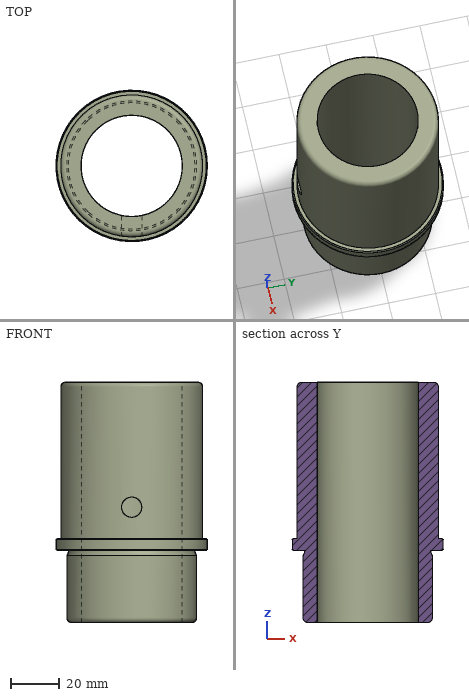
import cadquery as cq

total_height = 100.0
bore_diameter = 42.0
spigot_diameter = 54.0
body_diameter = 59.0
flange_diameter = 63.0
flange_bottom = 30.0
flange_thickness = 5.0
end_round = 2.0
flange_chamfer = 0.5
relief_height = 2.0
relief_depth = 0.7
cross_hole_diameter = 8.4
cross_hole_height = 48.0

bore_radius = bore_diameter / 2
spigot_radius = spigot_diameter / 2
body_radius = body_diameter / 2
flange_radius = flange_diameter / 2
relief_radius = spigot_radius - relief_depth
relief_arc_radius = (relief_height**2 + relief_depth**2) / (2 * relief_depth)
flange_top = flange_bottom + flange_thickness


def cylinder(radius, bottom, top):
    """Solid cylinder on the Z axis between two heights."""
    return cq.Workplane("XY").workplane(offset=bottom).circle(radius).extrude(top - bottom)


spigot = cylinder(spigot_radius, 0, flange_bottom).faces("<Z").edges().fillet(end_round)
flange = cylinder(flange_radius, flange_bottom, flange_top).edges().chamfer(flange_chamfer)
body = cylinder(body_radius, flange_top, total_height).faces(">Z").edges().fillet(end_round)
sleeve = spigot.union(flange).union(body)

relief = (
    cq.Workplane("XZ")
    .moveTo(relief_radius, flange_bottom)
    .radiusArc((spigot_radius, flange_bottom - relief_height), -relief_arc_radius)
    .lineTo(spigot_radius, flange_bottom)
    .close()
    .revolve(360, (0, 0, 0), (0, 1, 0))
)

bore = cylinder(bore_radius, 0, total_height)
cross_hole = (
    cq.Workplane("XZ")
    .center(0, cross_hole_height)
    .circle(cross_hole_diameter / 2)
    .extrude(body_radius)
)

result = sleeve.cut(relief).cut(bore).cut(cross_hole)